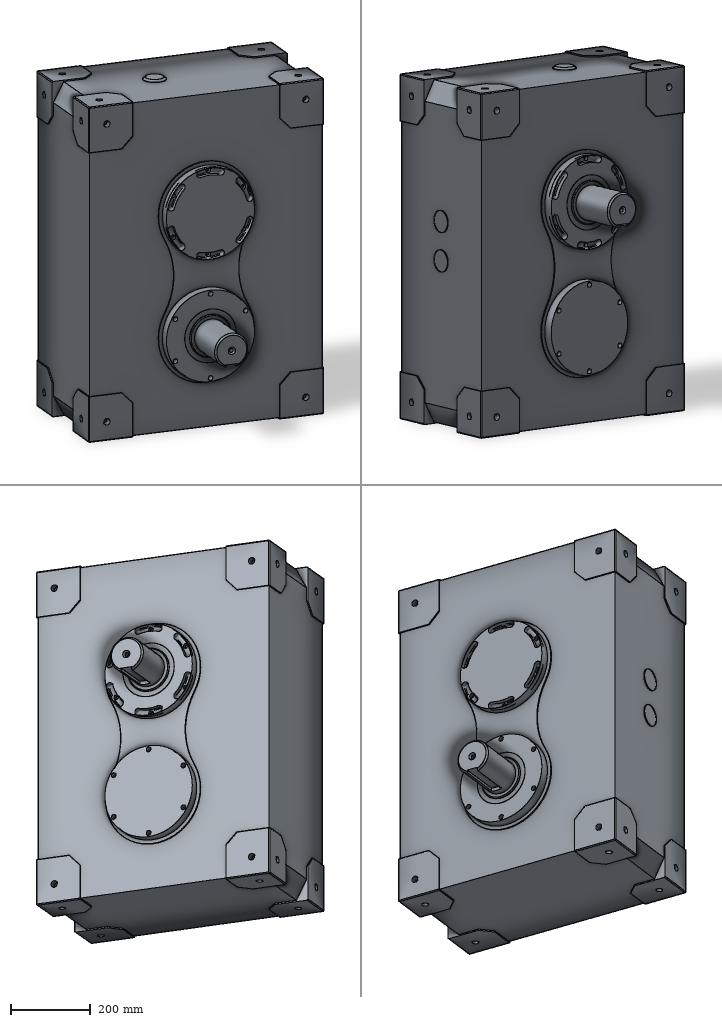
import cadquery as cq
import math

overall_x = 670.0
overall_y = 640.0
overall_z = 883.0

corner_span_x = 340.0
corner_proud = 3.5
plug_rise = 3.0
corner_span_z = overall_z - plug_rise
corner_span = (corner_span_x, overall_y, corner_span_z)
housing_size = tuple(span - 2 * corner_proud for span in corner_span)
housing_x, housing_y, housing_z = housing_size
housing_bevel_y = 28.0
housing_bevel_z = 52.0
corner_size = (101.5, 120.0, 120.0)
corner_cut = 30.0
corner_edge_chamfer = 3.0
mount_hole_diameter = 17.0
mount_hole_depth = 20.0
mount_hole_inset = 49.5

upper_axis_z = 131.0
lower_axis_z = -190.0
axis_distance = upper_axis_z - lower_axis_z
pad_radius = 130.0
pad_waist = 177.0
cover_radius = 120.0
cover_face_x = 197.0
pad_face_x = corner_span_x / 2
cover_thickness = cover_face_x - pad_face_x
bolt_circle_radius = 110.0
bolt_hole_diameter = 12.0
bolt_angles = range(30, 390, 60)
slot_radius = 9.0
slot_half_angle = 15
slot_depth = 15.0
slot_floor_fillet = 3.0

shaft_end_x = overall_x / 2
shaft_diameter = 90.0
shaft_chamfer = 4.0
collar_diameter = 113.0
collar_height = 3.5
collar_chamfer = 3.0
seal_diameter = 140.0
seal_recess = 1.0
keyway_width = 28.0
keyway_floor = 35.0
keyway_start_x = 219.0
centre_hole_diameter = 11.0
centre_hole_depth = 22.0
countersink_diameter = 19.0

plug_diameter = 60.0
plug_top_diameter = 48.0
plug_y = -70.0
plug_base_height = 1.0
side_plug_diameter = 56.5
side_plug_height = 3.0
side_plug_heights_z = (88.0, -12.0)


def polar(radius, degrees):
    angle = math.radians(degrees)
    return radius * math.cos(angle), radius * math.sin(angle)


def end_plane(side, x, z=0):
    """Plane facing outwards along X on the given side, with its local y axis along Z."""
    return cq.Plane(origin=(side * x, 0, z), xDir=(0, side, 0), normal=(side, 0, 0))


def make_housing():
    half_y = housing_y / 2
    half_z = housing_z / 2
    flat_y = half_y - housing_bevel_y
    flat_z = half_z - housing_bevel_z
    outline = [
        (half_y, -flat_z), (half_y, flat_z), (flat_y, half_z), (-flat_y, half_z),
        (-half_y, flat_z), (-half_y, -flat_z), (-flat_y, -half_z), (flat_y, -half_z),
    ]
    return cq.Workplane("YZ").polyline(outline).close().extrude(housing_x / 2, both=True)


def make_corner():
    """Block at the +X, +Y, +Z corner, its inner edges cut back and its outer edges eased."""
    blank = cq.Workplane("XY").box(*corner_size)
    block = blank
    for inner_edge in ("|X and <Y and <Z", "|Y and <X and <Z", "|Z and <X and <Y"):
        block = block.intersect(blank.edges(inner_edge).chamfer(corner_cut))
    for outer_edge in ("|X and >Y and >Z", "|Y and >X and >Z", "|Z and >X and >Y"):
        block = block.intersect(blank.edges(outer_edge).chamfer(corner_edge_chamfer))
    centre = [(span - size) / 2 for span, size in zip(corner_span, corner_size)]
    return block.translate(tuple(centre))


def make_corner_holes():
    """Blind mounting holes in the three outer faces of the +X, +Y, +Z corner."""
    face_x, face_y, face_z = [span / 2 for span in corner_span]
    hole_x, hole_y, hole_z = [span / 2 - mount_hole_inset for span in corner_span]
    radius = mount_hole_diameter / 2
    drillings = (
        ((face_x, hole_y, hole_z), (-1, 0, 0)),
        ((hole_x, face_y, hole_z), (0, -1, 0)),
        ((hole_x, hole_y, face_z), (0, 0, -1)),
    )
    holes = cq.Workplane("XY")
    for start, direction in drillings:
        drill = cq.Solid.makeCylinder(
            radius, mount_hole_depth, cq.Vector(*start), cq.Vector(*direction)
        )
        holes = holes.add(drill)
    return holes.combine()


def at_all_corners(shape):
    """Mirror a shape from the +X, +Y, +Z corner to all eight corners."""
    for plane in ("YZ", "XZ", "XY"):
        shape = shape.union(shape.mirror(plane))
    return shape


def make_pad(side):
    """Thin figure-eight pad around both shaft axes."""
    half_distance = axis_distance / 2
    half_waist = pad_waist / 2
    neck_radius = (half_distance ** 2 + half_waist ** 2 - pad_radius ** 2) / (
        2 * (pad_radius - half_waist)
    )
    neck_centre = half_waist + neck_radius
    blend = pad_radius / (pad_radius + neck_radius)
    tangent_y = neck_centre * blend
    tangent_z = half_distance * (1 - blend)
    top_z = half_distance + pad_radius
    return (
        cq.Workplane(end_plane(side, 0, (upper_axis_z + lower_axis_z) / 2))
        .moveTo(tangent_y, tangent_z)
        .threePointArc((0, top_z), (-tangent_y, tangent_z))
        .threePointArc((-half_waist, 0), (-tangent_y, -tangent_z))
        .threePointArc((0, -top_z), (tangent_y, -tangent_z))
        .threePointArc((half_waist, 0), (tangent_y, tangent_z))
        .close()
        .extrude(pad_face_x)
    )


def make_cover(side, axis_z):
    return cq.Workplane(end_plane(side, 0, axis_z)).circle(cover_radius).extrude(cover_face_x)


def make_bolt_holes(side, axis_z):
    return (
        cq.Workplane(end_plane(side, pad_face_x, axis_z))
        .pushPoints([polar(bolt_circle_radius, angle) for angle in bolt_angles])
        .circle(bolt_hole_diameter / 2)
        .extrude(cover_thickness)
    )


def make_slots(side):
    """Curved pockets around the bolts of an upper cover, leaving a thin wall at its rim."""
    plane = end_plane(side, cover_face_x - slot_depth, upper_axis_z)
    inner = bolt_circle_radius - slot_radius
    outer = bolt_circle_radius + slot_radius
    slots = cq.Workplane(plane)
    for angle in bolt_angles:
        start = angle - slot_half_angle
        end = angle + slot_half_angle
        start_tip = polar(slot_radius, start - 90)
        end_tip = polar(slot_radius, end + 90)
        start_mid = polar(bolt_circle_radius, start)
        end_mid = polar(bolt_circle_radius, end)
        slots = (
            slots.moveTo(*polar(outer, start))
            .threePointArc(polar(outer, angle), polar(outer, end))
            .threePointArc((end_mid[0] + end_tip[0], end_mid[1] + end_tip[1]), polar(inner, end))
            .threePointArc(polar(inner, angle), polar(inner, start))
            .threePointArc(
                (start_mid[0] + start_tip[0], start_mid[1] + start_tip[1]), polar(outer, start)
            )
            .close()
        )
    floor_faces = "<X" if side > 0 else ">X"
    return slots.extrude(slot_depth).faces(floor_faces).edges().fillet(slot_floor_fillet)


def make_seal_recess(side, axis_z):
    return (
        cq.Workplane(end_plane(side, cover_face_x - seal_recess, axis_z))
        .circle(seal_diameter / 2)
        .circle(collar_diameter / 2)
        .extrude(seal_recess)
    )


def make_shaft(side, axis_z):
    """Shaft with collar, open-ended keyway underneath and countersunk centre hole."""
    outer_face = ">X" if side > 0 else "<X"
    shaft = (
        cq.Workplane(end_plane(side, 0, axis_z))
        .circle(shaft_diameter / 2)
        .extrude(shaft_end_x)
        .faces(outer_face)
        .chamfer(shaft_chamfer)
    )
    collar = (
        cq.Workplane(end_plane(side, 0, axis_z))
        .circle(collar_diameter / 2)
        .extrude(cover_face_x + collar_height)
        .faces(outer_face)
        .chamfer(collar_chamfer)
    )
    keyway = (
        cq.Workplane(end_plane(side, keyway_start_x, axis_z))
        .center(0, -keyway_floor - keyway_width / 2)
        .rect(keyway_width, keyway_width)
        .extrude(shaft_end_x - keyway_start_x)
    )
    return (
        shaft.cut(keyway)
        .union(collar)
        .copyWorkplane(cq.Workplane(end_plane(side, shaft_end_x, axis_z)))
        .cskHole(centre_hole_diameter, countersink_diameter, 90, depth=centre_hole_depth)
    )


def make_top_plug():
    base_z = housing_z / 2
    cone_z = base_z + plug_base_height
    top_z = corner_span_z / 2 + plug_rise
    return (
        cq.Workplane("XZ", origin=(0, plug_y, 0))
        .polyline([
            (0, base_z), (plug_diameter / 2, base_z), (plug_diameter / 2, cone_z),
            (plug_top_diameter / 2, top_z), (0, top_z),
        ])
        .close()
        .revolve(360, (0, 0), (0, 1))
    )


def make_side_plugs():
    """Flat plugs on the +Y face."""
    return (
        cq.Workplane("XZ", origin=(0, housing_y / 2, 0))
        .pushPoints([(0, z) for z in side_plug_heights_z])
        .circle(side_plug_diameter / 2)
        .extrude(-side_plug_height)
    )


body = make_housing().union(at_all_corners(make_corner())).cut(at_all_corners(make_corner_holes()))

for side in (-1, 1):
    body = body.union(make_pad(side))
    for axis_z in (upper_axis_z, lower_axis_z):
        body = body.union(make_cover(side, axis_z)).cut(make_bolt_holes(side, axis_z))
    body = body.cut(make_slots(side))

for side, axis_z in ((-1, upper_axis_z), (1, lower_axis_z)):
    body = body.cut(make_seal_recess(side, axis_z)).union(make_shaft(side, axis_z))

result = body.union(make_top_plug()).union(make_side_plugs())